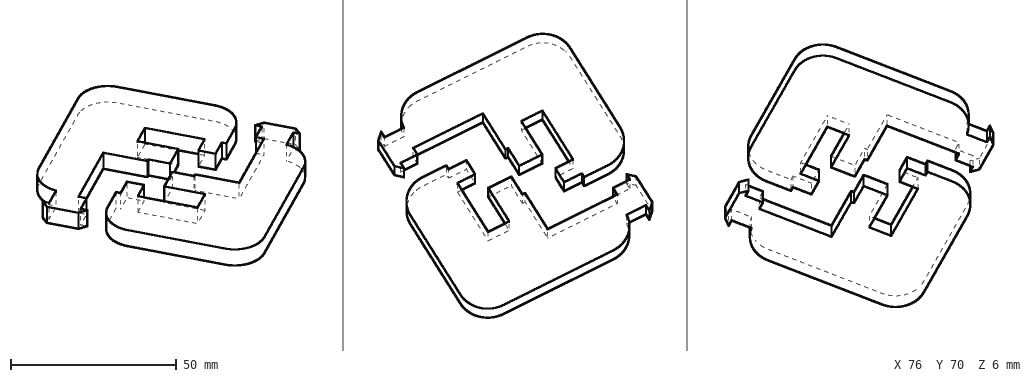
import cadquery as cq
import math

pair_length = 76.0
pair_width = 70.0
thickness = 6.0

plate_width = 49.9
corner_radius = 9.5
shoulder_depth = 57.2

bar_depth = 17.8
tooth_width = 5.5
tooth_length = 6.15
tooth_inset = 1.45

slot_start = 24.0
slot_height = 7.3
arm_tip = 37.0
arm_height = 8.0
arm_step_start = 30.1
arm_step_height = 0.9

spine_width = 16.0
spine_depth = 58.1
stem_start = 8.6
stem_width = 10.0
barb_overhang = 2.1
barb_height = 2.2
foot_depth = 66.05

left = -pair_length / 2
top = pair_width / 2
right = left + plate_width
bar_bottom = top - bar_depth
tooth_right = right - tooth_inset
tooth_left = tooth_right - tooth_width
tooth_bottom = bar_bottom - tooth_length
slot_left = left + slot_start
arm_top = bar_bottom - slot_height
arm_bottom = arm_top - arm_height
arm_root_bottom = arm_bottom - arm_step_height
arm_right = left + arm_tip
arm_step_x = left + arm_step_start
spine_right = left + spine_width
spine_bottom = top - spine_depth
stem_left = left + stem_start
stem_right = stem_left + stem_width
foot_bottom = top - foot_depth
barb_top = foot_bottom + barb_height

corner_x = left + corner_radius
lower_corner_y = top - shoulder_depth + corner_radius
diagonal = corner_radius * math.sqrt(0.5)


def lower_corner_point(angle):
    """Point on the lower-left corner arc at an angle in radians."""
    return (
        corner_x + corner_radius * math.cos(angle),
        lower_corner_y + corner_radius * math.sin(angle),
    )


def half_plate():
    """Upper-left half plate as one extruded outline."""
    arc_end_angle = -math.acos((stem_left - corner_x) / corner_radius)
    arc_middle_angle = (arc_end_angle - math.pi) / 2
    top_corner_y = top - corner_radius
    right_corner_x = right - corner_radius

    outline = (
        cq.Workplane("XY")
        .moveTo(corner_x, top)
        .lineTo(right_corner_x, top)
        .threePointArc(
            (right_corner_x + diagonal, top_corner_y + diagonal),
            (right, top_corner_y),
        )
        .lineTo(right, bar_bottom)
        .lineTo(tooth_right, bar_bottom)
        .lineTo(tooth_right, tooth_bottom)
        .lineTo(tooth_left, tooth_bottom)
        .lineTo(tooth_left, bar_bottom)
        .lineTo(slot_left, bar_bottom)
        .lineTo(slot_left, arm_top)
        .lineTo(arm_right, arm_top)
        .lineTo(arm_right, arm_bottom)
        .lineTo(arm_step_x, arm_bottom)
        .lineTo(arm_step_x, arm_root_bottom)
        .lineTo(spine_right, arm_root_bottom)
        .lineTo(spine_right, spine_bottom)
        .lineTo(stem_right, spine_bottom)
        .lineTo(stem_right, barb_top)
        .lineTo(stem_right + barb_overhang, barb_top)
        .lineTo(stem_right, foot_bottom)
        .lineTo(stem_left, foot_bottom)
        .lineTo(stem_left - barb_overhang, barb_top)
        .lineTo(stem_left, barb_top)
        .lineTo(*lower_corner_point(arc_end_angle))
        .threePointArc(lower_corner_point(arc_middle_angle), (left, lower_corner_y))
        .lineTo(left, top_corner_y)
        .threePointArc((corner_x - diagonal, top_corner_y + diagonal), (corner_x, top))
        .close()
    )
    return outline.extrude(thickness)


half_plates = []
for turn in (0, 180):
    plate = half_plate().rotate((0, 0, 0), (0, 0, 1), turn)
    half_plates.append(plate.val())

result = cq.Compound.makeCompound(half_plates)